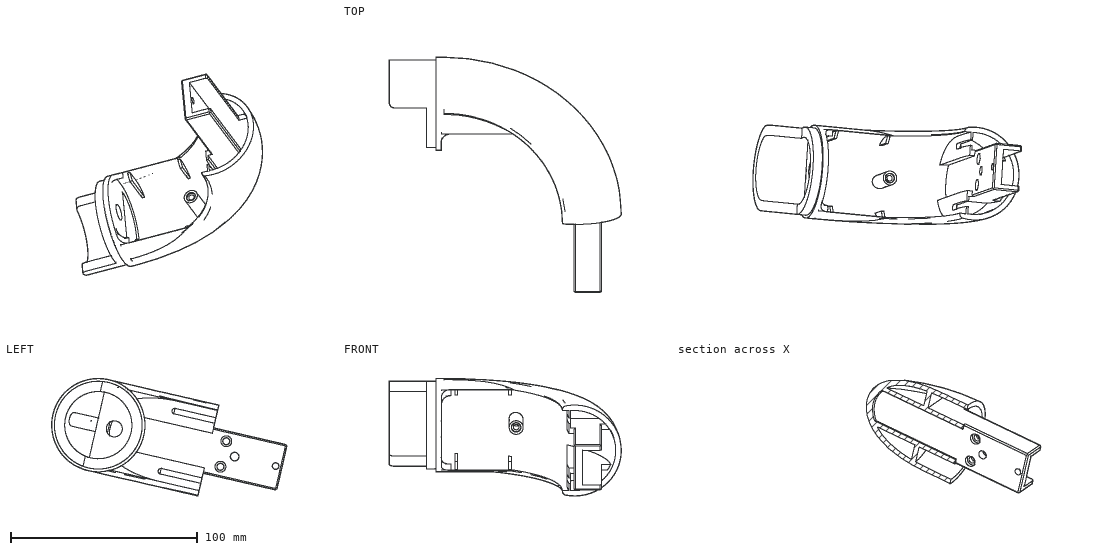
import cadquery as cq
import math

TILT = 13.0

TUBE_RADIUS = 23.5
BORE_RADIUS = 18.0
TUBE_START = -25.0
COLLAR_START = -5.0
FLANGE_END = 3.0
TUBE_CUT_Y = 3.0
TUBE_CUT_FILLET = 3.0

DISC_START = -2.0
DISC_TOP_Y = 0.8
CABLE_HOLE_DIAMETER = 8.6
CABLE_HOLE_Y = -8.8

SHELL_RADIUS = 25.0
SHELL_WALL = 3.0
CAVITY_RADIUS = SHELL_RADIUS - SHELL_WALL
BEND_START = 4.3
BEND_DEPTH = 60.5
SHELL_END_X = 74.3
BEND_WIDTH = SHELL_END_X - BEND_START

OPENING_Y = -11.5
OPENING_FILLET = 5.0
OPENING_END_X = 67.7
OPENING_WIDTH = OPENING_END_X - BEND_START
RIM_ROUND = 2.3

BAR_FACE_X = 73.9
BAR_BACK_X = 88.7
BAR_WEB = 4.6
BAR_HALF_HEIGHT = 12.5
BAR_FLANGE = 3.0
BAR_END_Y = -100.9
BAR_CHAMFER = 0.8

LEDGE_FACE_X = 70.1
LEDGE_THICKNESS = 2.1
LEDGE_INNER_Z = BAR_HALF_HEIGHT - BAR_FLANGE
LEDGE_RAMP_LENGTH = 10.0
WING_END_Y = -52.0
SLOT_Z = 16.5
SLOT_WIDTH = 3.0
SLOT_TOP_Y = -36.7
PARTITION_TOP_Y = -35.0
PARTITION_BOTTOM_Y = -38.0

SCREW_Y = -68.7
SCREW_Z = 7.0
SCREW_DIAMETER = 3.6
SCREW_HEAD_DIAMETER = 5.8
SCREW_HEAD_DEPTH = 2.0
CENTRE_HOLE_Y = -74.9
CENTRE_HOLE_DIAMETER = 4.5
END_HOLE_Y = -97.4
END_HOLE_DIAMETER = 3.4

POST_X = 43.0
POST_END_Y = -5.7
POST_DIAMETER = 7.5
POST_HOLE_DIAMETER = 3.0
POST_HEAD_DIAMETER = 5.0
POST_HEAD_DEPTH = 1.0
POST_HOLE_DEPTH = 10.0

RIB_POSITIONS = (10.9, 39.7)
RIB_THICKNESS = 1.4
RIB_INNER_Z = 18.3
RIB_TOP_Y = 13.0
RIB_BOTTOM_Y = -7.0
RIB_TIP_Y = -10.0

REACH = 60.0


def box(x_range, y_range, z_range):
    """Box given by its limits along each axis."""
    size = [high - low for low, high in (x_range, y_range, z_range)]
    corner = (x_range[0], y_range[0], z_range[0])
    return cq.Workplane("XY").box(*size, centered=False).translate(corner)


def cylinder_x(radius, start, end):
    """Cylinder about the X axis."""
    return cq.Workplane("YZ").workplane(offset=start).circle(radius).extrude(end - start)


def cylinder_along_x(diameter, start, end, y, z):
    """Cylinder parallel to X through the given y and z."""
    return cylinder_x(diameter / 2, start, end).translate((0, y, z))


def cylinder_along_y(diameter, start, end, x):
    """Cylinder parallel to Y at the given x, centred on z = 0."""
    plane = cq.Workplane("XZ", origin=(x, start, 0))
    return plane.circle(diameter / 2).extrude(start - end)


def bend(radius):
    """Solid tube swept along the quarter ellipse."""
    path = cq.Workplane("XY").center(BEND_START, -BEND_DEPTH).ellipseArc(
        BEND_WIDTH, BEND_DEPTH, 0, 90, startAtCurrent=False, sense=1)
    section = cq.Workplane("XZ", origin=(SHELL_END_X, -BEND_DEPTH, 0)).circle(radius)
    return section.sweep(path)


def opening_corner_x():
    """X where the straight edge of the opening meets its elliptical edge."""
    rise = (OPENING_Y + BEND_DEPTH) / BEND_DEPTH
    return BEND_START + OPENING_WIDTH * math.sqrt(1 - rise ** 2)


def cavity():
    """Interior of the shell: the round bore of the bend, flat-sided towards the opening."""
    fillet_end = FLANGE_END + OPENING_FILLET
    bore = bend(CAVITY_RADIUS).union(cylinder_x(CAVITY_RADIUS, FLANGE_END, BEND_START))
    flat_sides = cq.Workplane("XY").workplane(offset=-CAVITY_RADIUS).center(BEND_START, -BEND_DEPTH)
    flat_sides = flat_sides.ellipse(BEND_WIDTH, BEND_DEPTH).extrude(2 * CAVITY_RADIUS)
    bend_side = box((BEND_START, SHELL_END_X), (-2 * BEND_DEPTH, 0), (-REACH, REACH))
    flat_sides = flat_sides.intersect(bend_side)
    start = box((FLANGE_END, BEND_START), (-BEND_DEPTH, 0), (-CAVITY_RADIUS, CAVITY_RADIUS))
    fillet_zone = box((FLANGE_END, fillet_end), (-BEND_DEPTH, OPENING_Y), (-REACH, REACH))
    rounded_corner = cylinder_x(CAVITY_RADIUS, FLANGE_END, fillet_end).intersect(fillet_zone)
    return bore.union(flat_sides.union(start).cut(fillet_zone)).union(rounded_corner)


def bend_opening():
    """Elliptical prism that opens the inner side of the bend."""
    profile = cq.Workplane("XY").workplane(offset=-REACH).center(BEND_START, -BEND_DEPTH)
    return profile.ellipse(OPENING_WIDTH, BEND_DEPTH).extrude(2 * REACH)


def make_bend_shell():
    """Quarter bend with a rounded rim along its opening."""
    outer = bend(SHELL_RADIUS).cut(bend_opening())
    return outer.edges(">Z or <Z").fillet(RIM_ROUND)


def make_straight_walls():
    """Straight side walls that carry the flange into the opening of the bend."""
    wall = cylinder_x(SHELL_RADIUS, FLANGE_END, opening_corner_x())
    profile = (
        cq.Workplane("XY").workplane(offset=-REACH)
        .moveTo(FLANGE_END, OPENING_Y - OPENING_FILLET)
        .radiusArc((FLANGE_END + OPENING_FILLET, OPENING_Y), OPENING_FILLET)
        .lineTo(opening_corner_x(), OPENING_Y)
        .lineTo(opening_corner_x(), 0)
        .lineTo(FLANGE_END, 0)
        .close().extrude(2 * REACH)
    )
    start = box((FLANGE_END, BEND_START), (OPENING_Y - OPENING_FILLET, 0), (-REACH, REACH))
    return wall.intersect(profile).intersect(bend_opening().union(start))


def make_tube():
    """Half tube, collar and flange with the half disc across the bore."""
    tube = cylinder_x(TUBE_RADIUS, TUBE_START, 0).union(cylinder_x(SHELL_RADIUS, 0, BEND_START))
    tube = tube.cut(box((FLANGE_END, BEND_START), (-REACH, OPENING_Y), (-REACH, REACH)))
    tube = tube.cut(cylinder_x(BORE_RADIUS, TUBE_START, FLANGE_END))
    cut = (
        cq.Workplane("XY").workplane(offset=-REACH)
        .moveTo(TUBE_START, -REACH)
        .lineTo(TUBE_START, TUBE_CUT_Y + TUBE_CUT_FILLET)
        .radiusArc((TUBE_START + TUBE_CUT_FILLET, TUBE_CUT_Y), -TUBE_CUT_FILLET)
        .lineTo(COLLAR_START, TUBE_CUT_Y)
        .lineTo(COLLAR_START, -REACH)
        .close().extrude(2 * REACH)
    )
    disc = cylinder_x(TUBE_RADIUS, DISC_START, FLANGE_END)
    disc = disc.intersect(box((DISC_START, FLANGE_END), (-REACH, DISC_TOP_Y), (-REACH, REACH)))
    hole = cylinder_along_x(CABLE_HOLE_DIAMETER, DISC_START, FLANGE_END, CABLE_HOLE_Y, 0)
    return tube.cut(cut).union(disc.cut(hole))


def make_bar():
    """Channel bar with its holes, running up into the shell."""
    bar = box((BAR_FACE_X, BAR_BACK_X), (BAR_END_Y, 0), (-BAR_HALF_HEIGHT, BAR_HALF_HEIGHT))
    bar = bar.faces("<Y").edges().chamfer(BAR_CHAMFER)
    bar = bar.edges("|Y").chamfer(BAR_CHAMFER)
    web_back = BAR_FACE_X + BAR_WEB
    bar = bar.cut(box((web_back, BAR_BACK_X), (BAR_END_Y, 0), (-LEDGE_INNER_Z, LEDGE_INNER_Z)))
    for z in (-SCREW_Z, SCREW_Z):
        bar = bar.cut(cylinder_along_x(SCREW_DIAMETER, BAR_FACE_X, web_back, SCREW_Y, z))
        head_floor = BAR_FACE_X + SCREW_HEAD_DEPTH
        bar = bar.cut(cylinder_along_x(SCREW_HEAD_DIAMETER, BAR_FACE_X, head_floor, SCREW_Y, z))
    bar = bar.cut(cylinder_along_x(CENTRE_HOLE_DIAMETER, BAR_FACE_X, web_back, CENTRE_HOLE_Y, 0))
    return bar.cut(cylinder_along_x(END_HOLE_DIAMETER, BAR_FACE_X, web_back, END_HOLE_Y, 0))


def make_ledge():
    """Upper slotted ledge with its riser, the partition behind it and a wing joining bar and shell."""
    back = LEDGE_FACE_X + LEDGE_THICKNESS
    ledge = box((LEDGE_FACE_X, back), (-BEND_DEPTH, SHELL_RADIUS), (LEDGE_INNER_Z, SHELL_RADIUS))
    riser = box((LEDGE_FACE_X, BAR_FACE_X + BAR_CHAMFER), (-BEND_DEPTH, SHELL_RADIUS),
                (LEDGE_INNER_Z, BAR_HALF_HEIGHT))
    partition = box((LEDGE_FACE_X, SHELL_END_X + SHELL_RADIUS), (PARTITION_BOTTOM_Y, PARTITION_TOP_Y),
                    (BAR_HALF_HEIGHT, SHELL_RADIUS))
    wing = box((BAR_BACK_X - BAR_CHAMFER, SHELL_END_X + SHELL_RADIUS), (WING_END_Y, 0),
               (LEDGE_INNER_Z, BAR_HALF_HEIGHT))
    slot = box((LEDGE_FACE_X, back), (-BEND_DEPTH, SLOT_TOP_Y - SLOT_WIDTH / 2),
               (SLOT_Z - SLOT_WIDTH / 2, SLOT_Z + SLOT_WIDTH / 2))
    slot_end = cylinder_along_x(SLOT_WIDTH, LEDGE_FACE_X, back, SLOT_TOP_Y - SLOT_WIDTH / 2, SLOT_Z)
    ramp = (
        cq.Workplane("XY")
        .moveTo(LEDGE_FACE_X, -BEND_DEPTH + LEDGE_RAMP_LENGTH)
        .lineTo(LEDGE_FACE_X + LEDGE_THICKNESS / 2, -BEND_DEPTH)
        .lineTo(LEDGE_FACE_X, -BEND_DEPTH)
        .close().extrude(SHELL_RADIUS)
    )
    return ledge.union(riser).union(partition).union(wing).cut(slot).cut(slot_end).cut(ramp)


def make_post():
    """Screw post standing on the outer wall, with a counterbored blind hole."""
    post = cylinder_along_y(POST_DIAMETER, POST_END_Y, SHELL_RADIUS, POST_X)
    hole = cylinder_along_y(POST_HOLE_DIAMETER, POST_END_Y, POST_END_Y + POST_HOLE_DEPTH, POST_X)
    head = cylinder_along_y(POST_HEAD_DIAMETER, POST_END_Y, POST_END_Y + POST_HEAD_DEPTH, POST_X)
    return post.cut(hole).cut(head)


def make_rib(x):
    """Upper side-wall rib with a slanted lower tip."""
    profile = (
        cq.Workplane("YZ").workplane(offset=x - RIB_THICKNESS / 2)
        .moveTo(RIB_TOP_Y, RIB_INNER_Z)
        .lineTo(RIB_BOTTOM_Y, RIB_INNER_Z)
        .lineTo(RIB_TIP_Y, CAVITY_RADIUS)
        .lineTo(RIB_TOP_Y, CAVITY_RADIUS)
        .close()
    )
    return profile.extrude(RIB_THICKNESS)


def both_sides(body):
    """The body together with its mirror image in the XY plane."""
    return body.union(body.mirror("XY"))


interior = cavity()
fit_zone = bend(CAVITY_RADIUS + SHELL_WALL / 2)
part = make_bend_shell().union(make_straight_walls()).union(make_tube()).cut(interior)

bar = make_bar()
exposed_bar = bar.intersect(box((0, BAR_BACK_X), (BAR_END_Y, -BEND_DEPTH), (-REACH, REACH)))
part = part.union(bar.intersect(fit_zone)).union(exposed_bar)
part = part.union(both_sides(make_ledge()).intersect(fit_zone))
part = part.union(make_post().intersect(fit_zone))
for rib_x in RIB_POSITIONS:
    part = part.union(both_sides(make_rib(rib_x).intersect(interior)))

result = part.rotate((0, 0, 0), (1, 0, 0), TILT)